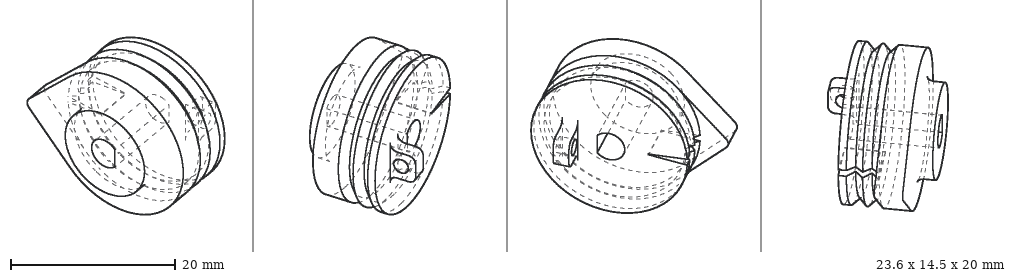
import cadquery as cq
import math

body_radius = 10.0
flange_thickness = 3.5
grooved_length = 4.01
groove_count = 2
groove_depth = grooved_length / (2 * groove_count)
rim_width = groove_depth
hub_radius = 6.0
hub_length = 2.5
hub_fillet = 1.0

bore_radius = 2.0
flat_offset = 1.5

pointer_reach = 13.6
pointer_half_angle = math.radians(45)
tip_radius = 1.0

notch_depth = 5.0
notch_mouth_half_width = 0.45
notch_floor_half_width = 0.05

tab_inner_x = 4.0
tab_thickness = 2.0
tab_half_width = 2.0
tab_length = 3.5
tab_corner_radius = 1.0
tab_root_radius = 1.0
tab_hole_diameter = 2.0
tab_hole_offset = 1.5

back_y = flange_thickness + grooved_length + rim_width


def make_body():
    """Revolve the hub, flange, V grooves and rim as one profile around the Y axis."""
    profile = (
        cq.Workplane("XY")
        .moveTo(0, -hub_length)
        .lineTo(hub_radius, -hub_length)
        .lineTo(hub_radius, -hub_fillet)
        .radiusArc((hub_radius + hub_fillet, 0), hub_fillet)
        .lineTo(body_radius, 0)
        .lineTo(body_radius, flange_thickness)
    )
    for groove in range(groove_count):
        start_y = flange_thickness + 2 * groove * groove_depth
        profile = profile.lineTo(body_radius - groove_depth, start_y + groove_depth)
        profile = profile.lineTo(body_radius, start_y + 2 * groove_depth)
    profile = profile.lineTo(body_radius, back_y).lineTo(0, back_y).close()
    return profile.revolve(360, (0, 0, 0), (0, 1, 0))


def make_pointer():
    """Wedge tangent to the flange, with a rounded tip."""
    sine = math.sin(pointer_half_angle)
    cosine = math.cos(pointer_half_angle)
    tip_center_x = tip_radius - pointer_reach
    root_x = -body_radius * sine
    root_z = body_radius * cosine
    tip_x = tip_center_x - tip_radius * sine
    tip_z = tip_radius * cosine
    return (
        cq.Workplane("XZ")
        .moveTo(root_x, root_z)
        .lineTo(tip_x, tip_z)
        .threePointArc((-pointer_reach, 0), (tip_x, -tip_z))
        .lineTo(root_x, -root_z)
        .close()
        .extrude(-flange_thickness)
    )


def make_bore():
    """Through bore with one flat on the +X side."""
    flat_half = math.sqrt(bore_radius**2 - flat_offset**2)
    return (
        cq.Workplane("XZ", origin=(0, -hub_length, 0))
        .moveTo(flat_offset, flat_half)
        .threePointArc((-bore_radius, 0), (flat_offset, -flat_half))
        .close()
        .extrude(-(hub_length + back_y))
    )


def make_notch():
    """Tapered slot running along Y from the flange to the back face."""
    return (
        cq.Workplane("XZ", origin=(0, flange_thickness, 0))
        .moveTo(-body_radius, notch_mouth_half_width)
        .lineTo(notch_depth - body_radius, notch_floor_half_width)
        .lineTo(notch_depth - body_radius, -notch_floor_half_width)
        .lineTo(-body_radius, -notch_mouth_half_width)
        .close()
        .extrude(flange_thickness - back_y)
    )


def make_tab():
    """Upright tab with rounded outer corners, flared root and a cross hole."""
    end_y = back_y + tab_length
    root_half_width = tab_half_width + tab_root_radius
    tab = (
        cq.Workplane("YZ", origin=(tab_inner_x, 0, 0))
        .moveTo(back_y, -root_half_width)
        .radiusArc((back_y + tab_root_radius, -tab_half_width), tab_root_radius)
        .lineTo(end_y - tab_corner_radius, -tab_half_width)
        .radiusArc((end_y, tab_corner_radius - tab_half_width), -tab_corner_radius)
        .lineTo(end_y, tab_half_width - tab_corner_radius)
        .radiusArc((end_y - tab_corner_radius, tab_half_width), -tab_corner_radius)
        .lineTo(back_y + tab_root_radius, tab_half_width)
        .radiusArc((back_y, root_half_width), tab_root_radius)
        .close()
        .extrude(tab_thickness)
    )
    hole = (
        cq.Workplane("YZ", origin=(tab_inner_x, 0, 0))
        .center(back_y + tab_hole_offset, 0)
        .circle(tab_hole_diameter / 2)
        .extrude(tab_thickness)
    )
    return tab.cut(hole)


body = make_body().cut(make_notch())
result = body.union(make_pointer()).cut(make_bore()).union(make_tab())